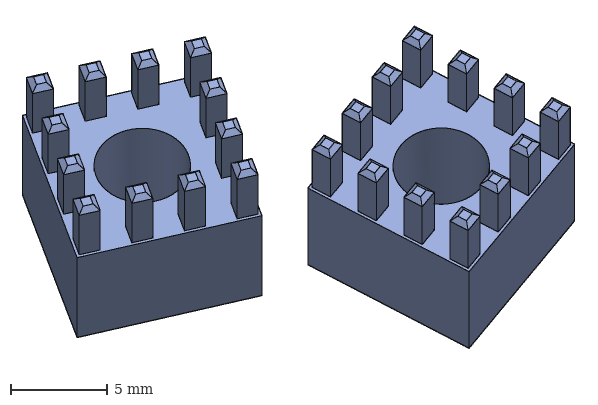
import cadquery as cq

block_side = 10.0
block_height = 6.5
bore_diameter = 5.0

total_height = 10.0
pin_width = 1.14
pin_chamfer = 0.3
pins_per_side = 4
pin_edge_gap = 0.16

pin_height = total_height - block_height
pin_row_offset = block_side / 2 - pin_edge_gap - pin_width / 2
pin_pitch = 2 * pin_row_offset / (pins_per_side - 1)


def make_block():
    """Block resting on Z = 0, centred on the Z axis, with its bore."""
    return (
        cq.Workplane("XY")
        .rect(block_side, block_side)
        .circle(bore_diameter / 2)
        .extrude(block_height)
    )


def pin_centres():
    """Grid positions on the outer ring only."""
    last = pins_per_side - 1
    centres = []
    for column in range(pins_per_side):
        for row in range(pins_per_side):
            if column in (0, last) or row in (0, last):
                x = column * pin_pitch - pin_row_offset
                y = row * pin_pitch - pin_row_offset
                centres.append((x, y))
    return centres


def make_pin():
    """Square pin with a chamfered tip, standing on the top face of the block."""
    return (
        cq.Workplane("XY", origin=(0, 0, block_height))
        .rect(pin_width, pin_width)
        .extrude(pin_height)
        .faces(">Z")
        .chamfer(pin_chamfer)
    )


result = make_block()
pin = make_pin()
for x, y in pin_centres():
    result = result.union(pin.translate((x, y, 0)))